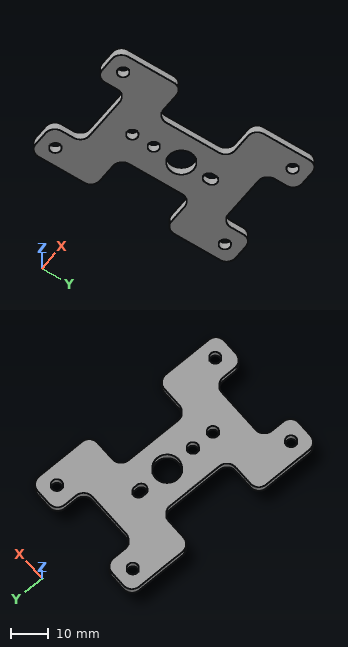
import cadquery as cq

thickness = 3.0
hole_diameter = 3.3

mount_spacing_x = 31.0
mount_spacing_y = 55.3
edge_margin = 5.0
plate_width = mount_spacing_x + 2 * edge_margin
plate_length = mount_spacing_y + 2 * edge_margin

end_notch_width = 19.8
end_notch_depth = 10.0
waist_width = 17.0
waist_length = 23.3
corner_radius = 3.0

bore_diameter = 8.0
bore_y = 2.4
small_hole_offsets = (-9.0, -16.0)
slot_offset = 9.5
slot_length = 4.3


def make_outline():
    """Plate with notched ends and a narrowed waist, all corners rounded."""
    plate = cq.Workplane("XY").box(plate_width, plate_length, thickness, centered=(True, True, False))
    side_notch_depth = (plate_width - waist_width) / 2
    for side in (-1, 1):
        end_notch = cq.Workplane("XY").box(
            end_notch_width, end_notch_depth, thickness, centered=(True, True, False)
        )
        plate = plate.cut(end_notch.translate((0, side * (plate_length - end_notch_depth) / 2, 0)))
        side_notch = cq.Workplane("XY").box(
            side_notch_depth, waist_length, thickness, centered=(True, True, False)
        )
        plate = plate.cut(side_notch.translate((side * (plate_width - side_notch_depth) / 2, 0, 0)))
    return plate.edges("|Z").fillet(corner_radius)


def cut_mounting_holes(plate):
    """One through hole in each corner pad."""
    return (
        plate.faces(">Z")
        .workplane(origin=(0, 0, thickness))
        .rarray(mount_spacing_x, mount_spacing_y, 2, 2)
        .hole(hole_diameter)
    )


def cut_centreline_features(plate):
    """Large bore, two small holes below it and a short lengthwise slot above it."""
    top = plate.faces(">Z").workplane(origin=(0, 0, thickness))
    plate = top.center(0, bore_y).hole(bore_diameter)
    for offset in small_hole_offsets:
        top = plate.faces(">Z").workplane(origin=(0, 0, thickness))
        plate = top.center(0, bore_y + offset).hole(hole_diameter)
    top = plate.faces(">Z").workplane(origin=(0, 0, thickness))
    slot = top.center(0, bore_y + slot_offset).slot2D(slot_length, hole_diameter, 90)
    return slot.cutThruAll()


result = cut_centreline_features(cut_mounting_holes(make_outline()))